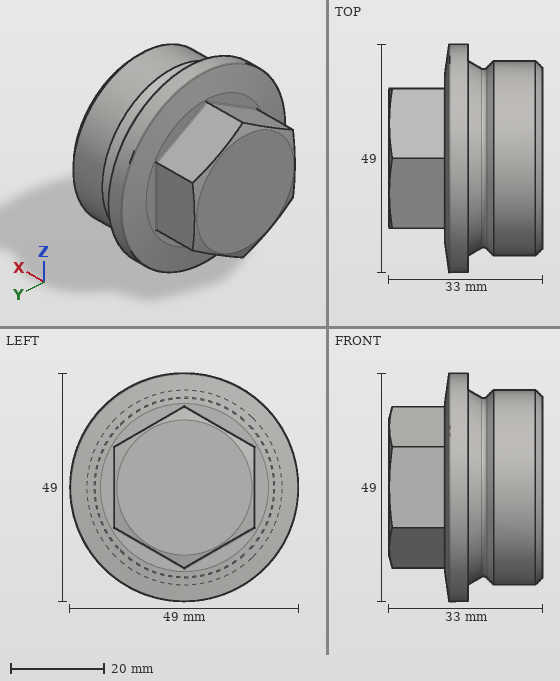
import cadquery as cq
import math

total_length = 33.0

hex_sides = 6
hex_across_flats = 30.0
hex_length = 12.0
head_face_radius = 14.5
head_root_fillet = 0.2
head_chamfer_angle = 15

flange_radius = 24.5
flange_face_radius = 18.05
flange_back = 17.0
flange_taper_angle = 8
flange_edge_radius = 0.2

body_radius = 20.9
body_start = 22.5
body_chamfer = 1.5
groove_flange_angle = 30
groove_body_angle = 45
groove_floor_radius = 19.15
groove_corner_radius = 1


def tan_deg(angle):
    return math.tan(math.radians(angle))


def revolve_about_x(profile):
    """Turn a closed profile, drawn as (position along X, radius), about the X axis."""
    return profile.revolve(360, (0, 0, 0), (1, 0, 0))


def make_hex_head():
    """Hexagonal prism, corners up and down, with its outer corners turned conical."""
    corner_radius = hex_across_flats / 2 / math.cos(math.pi / hex_sides)
    corner_angles = [2 * math.pi * i / hex_sides for i in range(hex_sides)]
    corners = [(corner_radius * math.sin(a), corner_radius * math.cos(a)) for a in corner_angles]
    prism = cq.Workplane("YZ").polyline(corners).close().extrude(hex_length)

    chamfer_depth = (corner_radius - head_face_radius) * tan_deg(head_chamfer_angle)
    envelope = (
        cq.Workplane("XY")
        .moveTo(0, 0)
        .lineTo(0, head_face_radius)
        .lineTo(chamfer_depth, corner_radius)
        .lineTo(hex_length, corner_radius)
        .lineTo(hex_length, 0)
        .close()
    )
    return prism.intersect(revolve_about_x(envelope))


def make_turned_body():
    """Tapered flange, undercut groove and chamfered body, revolved in one profile."""
    taper_end = hex_length + (flange_radius - flange_face_radius) * tan_deg(flange_taper_angle)

    flange_side = math.radians(groove_flange_angle)
    body_side = math.radians(groove_body_angle)
    body_wall_rise = body_radius - groove_floor_radius - groove_corner_radius * (1 - math.cos(body_side))
    arc_end = body_start - body_wall_rise / math.tan(body_side)
    arc_bottom = arc_end - groove_corner_radius * math.sin(body_side)
    arc_start = arc_bottom - groove_corner_radius * math.sin(flange_side)
    arc_start_radius = groove_floor_radius + groove_corner_radius * (1 - math.cos(flange_side))
    groove_top_radius = arc_start_radius + (arc_start - flange_back) * math.tan(flange_side)

    profile = (
        cq.Workplane("XY")
        .moveTo(hex_length, 0)
        .lineTo(hex_length, flange_face_radius)
        .lineTo(taper_end, flange_radius)
        .lineTo(flange_back, flange_radius)
        .lineTo(flange_back, groove_top_radius)
        .lineTo(arc_start, arc_start_radius)
        .threePointArc((arc_bottom, groove_floor_radius), (arc_end, body_radius - body_wall_rise))
        .lineTo(body_start, body_radius)
        .lineTo(total_length - body_chamfer, body_radius)
        .lineTo(total_length, body_radius - body_chamfer)
        .lineTo(total_length, 0)
        .close()
    )
    turned_body = revolve_about_x(profile)

    rim_edges = turned_body.edges("%CIRCLE").edges(cq.selectors.RadiusNthSelector(-1))
    return rim_edges.fillet(flange_edge_radius)


def round_head_root(plug):
    """Fillet the straight edges where the hex head meets the flange face."""
    root_zone = cq.selectors.BoxSelector(
        (hex_length - head_root_fillet, -flange_face_radius, -flange_face_radius),
        (hex_length + head_root_fillet, flange_face_radius, flange_face_radius),
    )
    root_edges = plug.edges("#X").edges("%LINE").edges(root_zone)
    return root_edges.fillet(head_root_fillet)


result = round_head_root(make_hex_head().union(make_turned_body()))